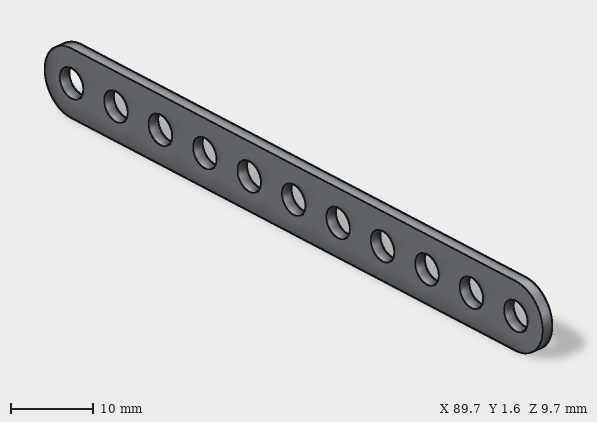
import cadquery as cq

length = 89.7
width = 9.7
thickness = 1.6
hole_count = 11
hole_diameter = 4.2

hole_pitch = (length - width) / (hole_count - 1)

back_face = cq.Workplane("XZ", origin=(0, thickness / 2, 0))
strip = back_face.slot2D(length, width).extrude(thickness)

holes = (
    back_face
    .rarray(hole_pitch, 0.9, hole_count, 1)
    .circle(hole_diameter / 2)
    .extrude(thickness)
)

result = strip.cut(holes)